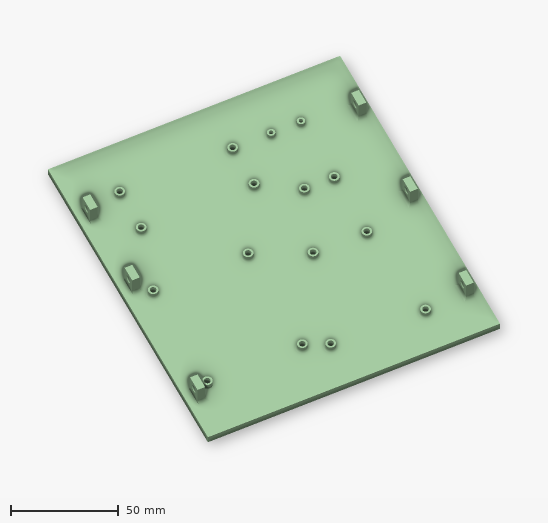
import cadquery as cq

plate_length = 171.2
plate_width = 150.7
plate_thickness = 4.0
total_height = 14.0

tab_width = 8.0
tab_thickness = 4.0
tab_height = total_height - plate_thickness
back_tab_gap = 4.0
front_tab_gap = 4.3
tab_hole_diameter = 4.0
tab_hole_z = total_height - tab_width / 2
tab_fillet = 1.5

left_tab_x = -53.5
right_tab_x = 61.6
back_middle_tab_x = 1.7
front_middle_tab_x = -8.4
back_tab_xs = [left_tab_x, back_middle_tab_x, right_tab_x]
front_tab_xs = [left_tab_x, front_middle_tab_x, right_tab_x]

standoff_height = 2.9
standoff_fillet = 1.0
large_diameter = 5.0
large_hole = 3.0
small_diameter = 4.0
small_hole = 2.0

left_column = -57.9
second_column = -35.0
third_column = -22.3
fourth_column = 12.7
middle_column = 0
right_column = 58.0
top_row = 41.8
second_row = 26.4
third_row = 6.5
fourth_row = -13.4
fifth_row = -51.7
bottom_row = -62.3

large_standoffs = [
    (third_column, top_row),
    (fourth_column, top_row),
    (third_column, second_row),
    (fourth_column, 14.0),
    (64.9, 46.9),
    (63.5, -1.4),
    (left_column, third_row),
    (second_column, third_row),
    (left_column, fifth_row),
    (second_column, fifth_row),
    (middle_column, fourth_row),
    (right_column, fourth_row),
    (middle_column, bottom_row),
]
small_standoffs = [
    (left_column, top_row),
    (left_column, second_row),
]
plain_standoff = (right_column, bottom_row)

selection_margin = 0.2


def add_standoffs(body, centers, diameter):
    """Add solid cylinders on top of the plate."""
    standoffs = (
        cq.Workplane("XY", origin=(0, 0, plate_thickness))
        .pushPoints(centers)
        .circle(diameter / 2)
        .extrude(standoff_height)
    )
    return body.union(standoffs)


def add_tab(body, x, side, edge_gap):
    """Add a tab at the back (side = 1) or front (side = -1), with a fillet on all but its outer face."""
    center_y = side * (plate_width / 2 - edge_gap - tab_thickness / 2)
    tab = (
        cq.Workplane("XY", origin=(x, center_y, plate_thickness))
        .rect(tab_width, tab_thickness)
        .extrude(tab_height)
    )
    hole = (
        cq.Workplane("XZ", origin=(x, center_y, tab_hole_z))
        .circle(tab_hole_diameter / 2)
        .extrude(tab_thickness, both=True)
    )
    body = body.union(tab.cut(hole))
    half_width = tab_width / 2 + selection_margin
    inner_y = center_y - side * (tab_thickness / 2 + selection_margin)
    foot_box = cq.selectors.BoxSelector(
        (x - half_width, inner_y, plate_thickness - selection_margin),
        (x + half_width, center_y + side * selection_margin, plate_thickness + selection_margin),
    )
    return body.edges(foot_box).fillet(tab_fillet)


def drill(body, centers, diameter):
    """Cut round holes through the standoffs and the plate."""
    drills = cq.Workplane("XY").pushPoints(centers).circle(diameter / 2).extrude(total_height)
    return body.cut(drills)


result = cq.Workplane("XY").box(plate_length, plate_width, plate_thickness, centered=(True, True, False))

result = add_standoffs(result, large_standoffs, large_diameter)
result = add_standoffs(result, small_standoffs, small_diameter)
plate_top_edges = cq.selectors.BoxSelector(
    (-plate_length, -plate_width, plate_thickness - selection_margin),
    (plate_length, plate_width, plate_thickness + selection_margin),
)
result = result.edges(plate_top_edges).edges("%CIRCLE").fillet(standoff_fillet)
result = add_standoffs(result, [plain_standoff], large_diameter)

for tab_x in back_tab_xs:
    result = add_tab(result, tab_x, 1, back_tab_gap)
for tab_x in front_tab_xs:
    result = add_tab(result, tab_x, -1, front_tab_gap)

result = drill(result, large_standoffs + [plain_standoff], large_hole)
result = drill(result, small_standoffs, small_hole)